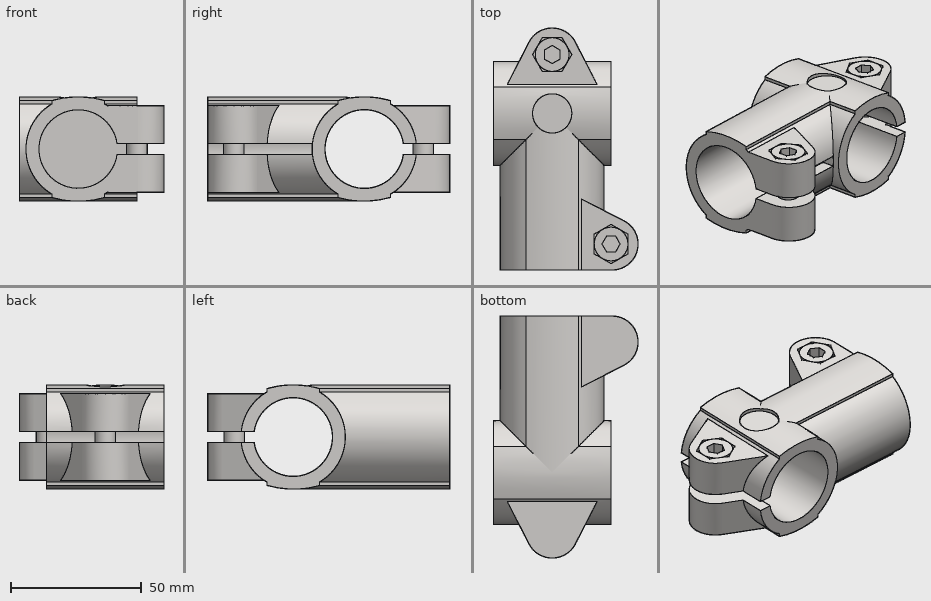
import cadquery as cq
import math


tube_diameter = 40.0
bore_diameter = 30.0
cross_length = 45.1
main_length = 60.0
tube_radius = tube_diameter / 2
bore_depth = main_length - tube_radius

pad_width = 20.0
pad_edge_height = 18.5

recess_diameter = 15.0
recess_floor = 18.5

cross_lug_offset = 22.7
side_lug_offset = 22.9
lug_radius = 10.0
lug_side_angle = 27
lug_height = 33.2
slot_width = 4.2
lug_reach = max(cross_lug_offset, side_lug_offset) + lug_radius
lug_root = math.sqrt(tube_radius**2 - (lug_height / 2)**2)
side_lug_y = lug_radius - main_length

screw_offset = 22.5
shank_diameter = 8.0
head_diameter = 12.9
head_height = 8.0
pocket_corners = 15.0
socket_corners = 6.95
socket_depth = 5.0
head_top = lug_height / 2
head_seat = head_top - head_height


def padded_tube(plane, length):
    """Solid round bar with a shallow crowned pad above and below."""
    half_pad = pad_width / 2
    pads = (
        cq.Workplane(plane)
        .moveTo(-half_pad, -pad_edge_height)
        .threePointArc((0, -tube_radius), (half_pad, -pad_edge_height))
        .lineTo(half_pad, pad_edge_height)
        .threePointArc((0, tube_radius), (-half_pad, pad_edge_height))
        .close()
        .extrude(length)
    )
    return cq.Workplane(plane).circle(tube_radius).extrude(length).union(pads)


def lug(offset, square_side=False):
    """Lug pointing to +Y with a round tip.

    Its sides taper outward to the tube; a square +X side runs parallel to Y instead.
    """
    angle = math.radians(lug_side_angle)
    tangent_x = lug_radius * math.cos(angle)
    tangent_y = offset + lug_radius * math.sin(angle)
    root_x = tangent_x + (tangent_y - lug_root) * math.tan(angle)
    if square_side:
        right_root = (lug_radius, lug_root)
        right_tangent = (lug_radius, offset)
    else:
        right_root = (root_x, lug_root)
        right_tangent = (tangent_x, tangent_y)
    return (
        cq.Workplane("XY")
        .workplane(offset=-lug_height / 2)
        .moveTo(-root_x, lug_root)
        .lineTo(*right_root)
        .lineTo(*right_tangent)
        .threePointArc((0, offset + lug_radius), (-tangent_x, tangent_y))
        .close()
        .extrude(lug_height)
    )


def hexagon(corners, bottom, top, turn):
    """Hexagonal prism on the screw axis, turned by an angle from corners on X."""
    prism = cq.Workplane("XY").polygon(6, corners).extrude(top - bottom)
    return prism.rotate((0, 0, 0), (0, 0, 1), turn).translate((0, screw_offset, bottom))


def cylinder(diameter, bottom, top):
    """Round bar on the screw axis."""
    bar = cq.Workplane("XY").circle(diameter / 2).extrude(top - bottom)
    return bar.translate((0, screw_offset, bottom))


def screw():
    """Socket head screw, its head flush with the top of the lug."""
    head = cylinder(head_diameter, head_seat, head_top)
    shank = cylinder(shank_diameter, -head_seat, head_seat)
    socket = hexagon(socket_corners, head_top - socket_depth, head_top, 30)
    return head.union(shank).cut(socket)


def at_main_tube(shape):
    """Move a shape from the cross tube lug to the lug at the end of the main tube."""
    return shape.rotate((0, 0, 0), (0, 0, 1), -90).translate((0, side_lug_y, 0))


cross_tube = padded_tube("YZ", cross_length).translate((-cross_length / 2, 0, 0))
main_tube = padded_tube("XZ", main_length)
cross_lug = lug(cross_lug_offset)
side_lug = at_main_tube(lug(side_lug_offset, square_side=True))
body = cross_tube.union(main_tube).union(cross_lug).union(side_lug)

cross_bore = cq.Workplane("YZ").circle(bore_diameter / 2).extrude(cross_length / 2, both=True)
main_bore = (
    cq.Workplane("XZ")
    .workplane(offset=main_length - bore_depth)
    .circle(bore_diameter / 2)
    .extrude(bore_depth)
)
body = body.cut(cross_bore).cut(main_bore)

cross_slot = cq.Workplane("XY").box(
    cross_length, lug_reach, slot_width, centered=(True, False, True)
)
main_slot = cq.Workplane("XY").box(
    lug_reach, bore_depth, slot_width, centered=(False, False, True)
).translate((0, -main_length, 0))
body = body.cut(cross_slot).cut(main_slot)

recess = (
    cq.Workplane("XY")
    .workplane(offset=recess_floor)
    .circle(recess_diameter / 2)
    .extrude(tube_radius - recess_floor)
)
body = body.cut(recess)

head_pocket = hexagon(pocket_corners, head_seat, head_top, 0)
body = body.cut(head_pocket).cut(at_main_tube(head_pocket))
result = body.union(screw()).union(at_main_tube(screw()))